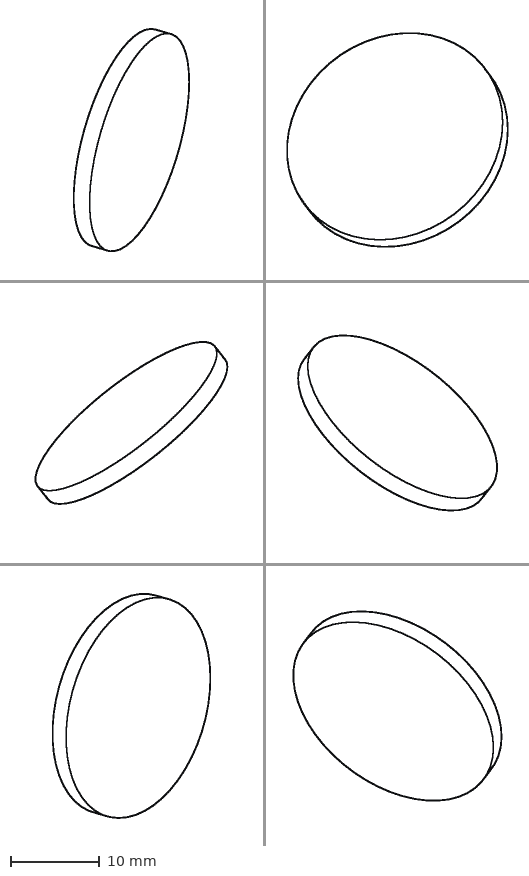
import cadquery as cq
import math

DIAMETER = 25.4
CENTRE_THICKNESS = 5.9
EDGE_THICKNESS = 2.0

RADIUS = DIAMETER / 2
HALF_CENTRE = CENTRE_THICKNESS / 2
HALF_EDGE = EDGE_THICKNESS / 2
SAG = HALF_CENTRE - HALF_EDGE
SURFACE_RADIUS = (RADIUS**2 + SAG**2) / (2 * SAG)


def arc_midpoint():
    """Point on the +X spherical profile at half the lens radius, as (x, y)."""
    y = RADIUS / 2
    sphere_centre_x = HALF_CENTRE - SURFACE_RADIUS
    x = sphere_centre_x + math.sqrt(SURFACE_RADIUS**2 - y**2)
    return x, y


def lens():
    """Revolve the half profile about the optical axis."""
    mid_x, mid_y = arc_midpoint()
    half_profile = (
        cq.Workplane("XY")
        .moveTo(-HALF_CENTRE, 0)
        .threePointArc((-mid_x, mid_y), (-HALF_EDGE, RADIUS))
        .lineTo(HALF_EDGE, RADIUS)
        .threePointArc((mid_x, mid_y), (HALF_CENTRE, 0))
        .close()
    )
    return half_profile.revolve(360, (0, 0, 0), (1, 0, 0))


result = lens()